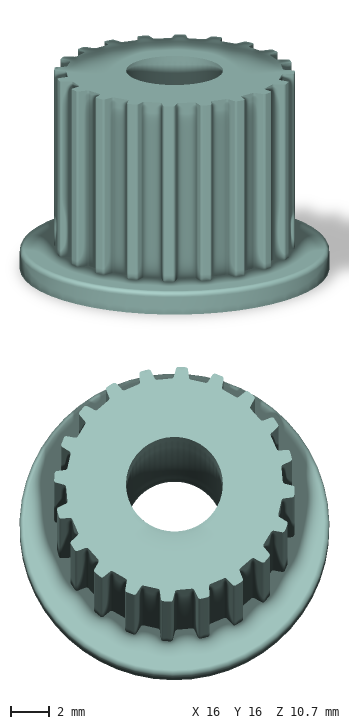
import cadquery as cq
import math

TOOTH_COUNT = 20
BELT_PITCH = 2.032
PITCH_LINE_OFFSET = 0.254

TOTAL_HEIGHT = 10.7
BORE_DIAMETER = 5.0
FLANGE_DIAMETER = 16.0
FLANGE_THICKNESS = 1.2
FLANGE_EDGE_RADIUS = 0.25

GROOVE_DEPTH = 0.63
GROOVE_FLOOR_WIDTH = 0.94
GROOVE_FLANK_ANGLE = 20.0
GROOVE_ROOT_RADIUS = 0.13
TOOTH_TIP_RADIUS = 0.13

TIP_RADIUS = TOOTH_COUNT * BELT_PITCH / (2 * math.pi) - PITCH_LINE_OFFSET
ROOT_RADIUS = TIP_RADIUS - GROOVE_DEPTH
TOOTH_PITCH_ANGLE = 360.0 / TOOTH_COUNT


def make_flange():
    """Disc with its upper rim rounded."""
    disc = cq.Workplane("XY").circle(FLANGE_DIAMETER / 2).extrude(FLANGE_THICKNESS)
    return disc.faces(">Z").edges().fillet(FLANGE_EDGE_RADIUS)


def make_groove_cutter():
    """Trapezoidal groove centred on +Y, with rounded floor corners."""
    cutter_height = 2 * GROOVE_DEPTH
    flank_spread = cutter_height * math.tan(math.radians(GROOVE_FLANK_ANGLE))
    half_floor = GROOVE_FLOOR_WIDTH / 2
    half_mouth = half_floor + flank_spread
    cutter = (
        cq.Workplane("XY")
        .moveTo(-half_floor, ROOT_RADIUS)
        .lineTo(half_floor, ROOT_RADIUS)
        .lineTo(half_mouth, ROOT_RADIUS + cutter_height)
        .lineTo(-half_mouth, ROOT_RADIUS + cutter_height)
        .close()
        .extrude(TOTAL_HEIGHT)
    )
    return cutter.faces("<Y").edges("|Z").fillet(GROOVE_ROOT_RADIUS)


def make_toothed_hub():
    """Cylinder with evenly spaced grooves and rounded tooth tips."""
    hub = cq.Workplane("XY").circle(TIP_RADIUS).extrude(TOTAL_HEIGHT)
    groove = make_groove_cutter()
    for index in range(TOOTH_COUNT):
        angle = index * TOOTH_PITCH_ANGLE
        hub = hub.cut(groove.rotate((0, 0, 0), (0, 0, 1), angle))

    mid_tooth_radius = (TIP_RADIUS + ROOT_RADIUS) / 2

    def is_tip_corner(edge):
        centre = edge.Center()
        return math.hypot(centre.x, centre.y) > mid_tooth_radius

    tip_corners = [edge for edge in hub.edges("|Z").vals() if is_tip_corner(edge)]
    return hub.newObject(tip_corners).fillet(TOOTH_TIP_RADIUS)


def make_bore():
    """Through hole for the shaft."""
    return cq.Workplane("XY").circle(BORE_DIAMETER / 2).extrude(TOTAL_HEIGHT)


result = make_flange().union(make_toothed_hub()).cut(make_bore())